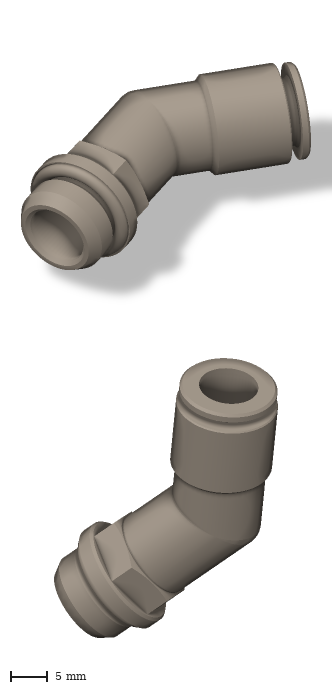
import cadquery as cq
import math

thread_radius = 13.0 / 2
thread_end_radius = 5.45
thread_chamfer_end = 1.75
thread_end = 4.6
relief_radius = 11.6 / 2
relief_start = 5.37
flange_radius = 16.0 / 2
flange_start = 6.6
flange_chamfer_start = 8.55
flange_chamfer_radius = 7.65
flange_end = 8.95
hex_across_flats = 12.95
hex_chamfer_start = 12.45
hex_chamfer_radius = 6.4
hex_end = 12.95
neck_radius = 6.15
tube_start = 13.15
tube_radius = 12.5 / 2

ring_section_radius = 0.93
ring_center_radius = relief_radius + ring_section_radius
ring_station = 6.5
recess_radius = 7.8
recess_floor = ring_station + ring_section_radius

bend_station = 24.55
bend_angle = 45
outer_bend_round = 2.15
inner_bend_round = 0.45
miter_angle = bend_angle / 2

shoulder_start = 7.5
shoulder_root_radius = 6.5
shoulder_root_end = 7.75
socket_radius = 14.0 / 2
socket_start = 8.2
socket_end = 18.5
socket_chamfer = 0.18
collet_neck_radius = 9.4 / 2
collet_neck_fillet = 0.35
collet_flange_radius = 13.5 / 2
collet_flange_start = 20.05
collet_end = 21.25
collet_chamfer = 0.35

inlet_rim_radius = 9.5 / 2
inlet_radius = 8.5 / 2
inlet_chamfer = 0.55
inlet_depth = hex_end
inlet_cone_half_angle = 60
passage_radius = 6.0 / 2
passage_end = 4.05
hose_radius = 8.15 / 2


def turned(points):
    """Solid turned about the Y axis from (radius, station) points, closed along the axis."""
    profile = [(0, points[0][1]), *points, (0, points[-1][1])]
    return cq.Workplane("XY").polyline(profile).close().revolve(360, (0, 0, 0), (0, 1, 0))


def inclined(shape):
    """Move a shape made along Y from the origin onto the inclined leg."""
    return shape.rotate((0, 0, 0), (0, 0, 1), -bend_angle).translate((0, bend_station, 0))


def bend_half_space(direction):
    """Large block beyond the bend centre, toward the given angle from +X in the XY plane."""
    size = 88.1
    block = cq.Workplane("XY").box(size, size, size).translate((size / 2, 0, 0))
    return block.rotate((0, 0, 0), (0, 0, 1), direction).translate((0, bend_station, 0))


def mitered_pipe(radius, start, end):
    """Two equal cylinders meeting in the miter plane of the bend."""
    overrun = 2 * radius
    inclined_side = bend_half_space(90 - miter_angle)
    straight = turned([(radius, start), (radius, bend_station + overrun)]).cut(inclined_side)
    slanted = inclined(turned([(radius, -overrun), (radius, end)])).intersect(inclined_side)
    return straight.union(slanted)


def rounded_half(tube, direction, side, round_radius):
    """Half of the bent tube on one side (-1 or 1 in X) with its miter edge rounded."""
    corner_rise = tube_radius * math.tan(math.radians(miter_angle))
    corner = (side * tube_radius, bend_station - side * corner_rise, 0)
    half = tube.intersect(bend_half_space(direction))
    return half.edges(cq.selectors.NearestToPointSelector(corner)).fillet(round_radius)


def elbow_tube():
    """Outer tube with its miter rounded on the convex outside and the concave inside."""
    tube = mitered_pipe(tube_radius, tube_start, shoulder_start)
    outer_half = rounded_half(tube, 180 - miter_angle, -1, outer_bend_round)
    inner_half = rounded_half(tube, -miter_angle, 1, inner_bend_round)
    return outer_half.union(inner_half)


def threaded_stud():
    """Thread, relief groove and flange below the hexagon."""
    return turned([
        (thread_end_radius, 0),
        (thread_radius, thread_chamfer_end),
        (thread_radius, thread_end),
        (relief_radius, relief_start),
        (relief_radius, recess_floor),
        (recess_radius, recess_floor),
        (recess_radius, flange_start),
        (flange_radius, flange_start),
        (flange_radius, flange_chamfer_start),
        (flange_chamfer_radius, flange_end),
    ])


def hexagon():
    """Hexagon with flats facing +Z and -Z, its far corners turned down, and a short neck."""
    corner_radius = hex_across_flats / 2 / math.cos(math.pi / 6)
    prism = (
        cq.Workplane("XZ", origin=(0, flange_end, 0))
        .polygon(6, 2 * corner_radius)
        .extrude(flange_end - hex_end)
    )
    envelope = turned([
        (corner_radius, flange_end),
        (corner_radius, hex_chamfer_start),
        (hex_chamfer_radius, hex_end),
    ])
    neck = turned([(neck_radius, hex_end), (neck_radius, tube_start)])
    return prism.intersect(envelope).union(neck)


def socket():
    """Hose socket and its release collar on the inclined leg."""
    chamfer_start = collet_end - collet_chamfer
    return inclined(turned([
        (tube_radius, shoulder_start),
        (shoulder_root_radius, shoulder_root_end),
        (socket_radius, socket_start),
        (socket_radius, socket_end - socket_chamfer),
        (socket_radius - socket_chamfer, socket_end),
        (collet_neck_radius, socket_end),
        (collet_neck_radius, collet_flange_start - collet_neck_fillet),
        (collet_neck_radius + collet_neck_fillet, collet_flange_start),
        (collet_flange_radius, collet_flange_start),
        (collet_flange_radius, chamfer_start),
        (collet_flange_radius - collet_chamfer, collet_end),
    ]))


def passage():
    """Inlet bore, mitered passage and hose bore."""
    cone_length = (inlet_radius - passage_radius) / math.tan(math.radians(inlet_cone_half_angle))
    inlet = turned([
        (inlet_rim_radius, 0),
        (inlet_radius, inlet_chamfer),
        (inlet_radius, inlet_depth),
        (passage_radius, inlet_depth + cone_length),
    ])
    hose_bore = inclined(turned([(hose_radius, passage_end), (hose_radius, collet_end)]))
    return mitered_pipe(passage_radius, inlet_depth, passage_end).union(inlet).union(hose_bore)


def make_fitting():
    outside = elbow_tube().union(threaded_stud()).union(hexagon()).union(socket())
    return outside.cut(passage())


def make_sealing_ring():
    return (
        cq.Workplane("XY")
        .center(ring_center_radius, ring_station)
        .circle(ring_section_radius)
        .revolve(360, (-ring_center_radius, 0, 0), (-ring_center_radius, 1, 0))
    )


fitting = make_fitting()
sealing_ring = make_sealing_ring()
result = cq.Compound.makeCompound([fitting.val(), sealing_ring.val()])